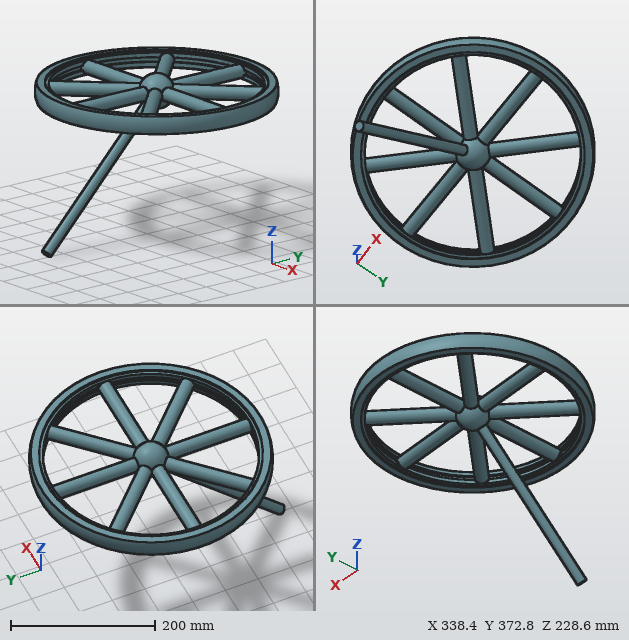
import cadquery as cq
import math

rim_height = 25.7
tread_radius = 169.2
face_outer_radius = 166.5
face_inner_radius = 310.0 / 2

lip_radius = 150.0
lip_recess = 2.5
groove_radius = 306.0 / 2
groove_height = 6.7

hub_radius = 25.0
spoke_count = 8
spoke_diameter = 20.0
spoke_end_radius = (groove_radius + face_outer_radius) / 2
handle_diameter = 15.0
handle_length = 280.5
handle_angle = 45.0


def make_rim():
    """Revolve the crowned rim section about Z."""
    face_z = rim_height / 2
    lip_z = face_z - lip_recess
    groove_z = groove_height / 2
    return (
        cq.Workplane("XZ")
        .moveTo(face_inner_radius, -face_z)
        .lineTo(face_outer_radius, -face_z)
        .threePointArc((tread_radius, 0), (face_outer_radius, face_z))
        .lineTo(face_inner_radius, face_z)
        .lineTo(face_inner_radius, lip_z)
        .lineTo(lip_radius, lip_z)
        .lineTo(lip_radius, groove_z)
        .lineTo(groove_radius, groove_z)
        .lineTo(groove_radius, -groove_z)
        .lineTo(lip_radius, -groove_z)
        .lineTo(lip_radius, -lip_z)
        .lineTo(face_inner_radius, -lip_z)
        .close()
        .revolve(360, (0, 0, 0), (0, 1, 0))
    )


def make_rod(diameter, length, direction):
    """Round rod starting at the hub centre."""
    return cq.Workplane(
        cq.Solid.makeCylinder(diameter / 2, length, cq.Vector(0, 0, 0), cq.Vector(*direction))
    )


result = make_rim().union(cq.Workplane("XY").sphere(hub_radius))

for index in range(spoke_count):
    angle = 2 * math.pi * index / spoke_count
    spoke_direction = (math.cos(angle), math.sin(angle), 0)
    result = result.union(make_rod(spoke_diameter, spoke_end_radius, spoke_direction))

slope = math.radians(handle_angle)
handle_direction = (0, -math.cos(slope), -math.sin(slope))
result = result.union(make_rod(handle_diameter, handle_length, handle_direction))